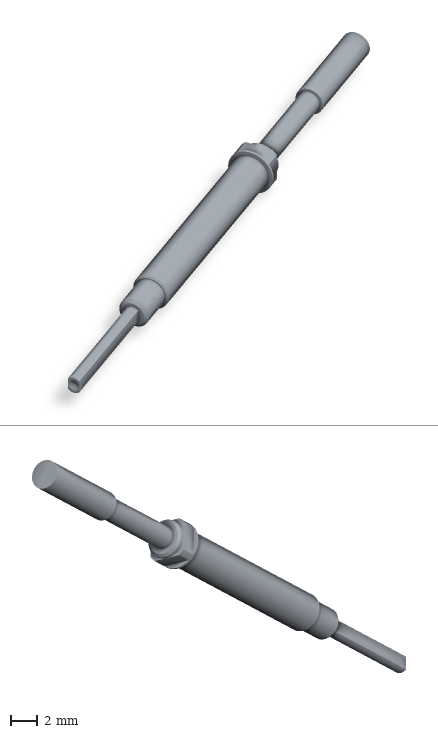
import cadquery as cq

pin_end = 10.0
sleeve_end = 13.0
flange_front = 30.0
flange_back = 30.2
collar_flats_end = 31.5
collar_end = 32.0
neck_end = 40.0
overall_length = 48.0

sleeve_diameter = 2.5
body_diameter = 3.0
flange_diameter = 3.75
collar_across_flats = body_diameter
neck_diameter = 1.8
wire_diameter = 2.3

pin_diameter = 1.4
pin_across_flats = 0.95
cup_diameter = 0.95
cup_depth = 0.3

sleeve_chamfer = 0.25
body_chamfer = 0.15
collar_chamfer = 0.2


def cylinder(diameter, start, end):
    """Cylinder on the Y axis between two stations."""
    return cq.Workplane("XZ", origin=(0, start, 0)).circle(diameter / 2).extrude(start - end)


def make_pin():
    rod = cylinder(pin_diameter, 0, pin_end)
    flats = cq.Workplane("XY").box(
        pin_across_flats, pin_end, pin_diameter, centered=(True, False, True)
    )
    cup = (
        cq.Workplane("XY")
        .polyline([(0, 0), (cup_diameter / 2, 0), (0, cup_depth)])
        .close()
        .revolve(360, (0, 0, 0), (0, 1, 0))
    )
    return rod.intersect(flats).cut(cup)


def make_sleeve():
    sleeve = cylinder(sleeve_diameter, pin_end, sleeve_end)
    return sleeve.faces("<Y").chamfer(sleeve_chamfer)


def make_body():
    """Long barrel that carries on through the collar, chamfered at both ends."""
    body = cylinder(body_diameter, sleeve_end, collar_end)
    return body.faces("<Y").chamfer(body_chamfer).faces(">Y").chamfer(collar_chamfer)


def make_collar():
    """Thin round flange backed by a square whose corners are rounded to the flange diameter."""
    flange = cylinder(flange_diameter, flange_front, flange_back)
    square = (
        cq.Workplane("XZ", origin=(0, flange_back, 0))
        .rect(collar_across_flats, collar_across_flats)
        .extrude(flange_back - collar_flats_end)
    )
    rounding = cylinder(flange_diameter, flange_back, collar_flats_end)
    return flange.union(square.intersect(rounding))


def make_wire_end():
    neck = cylinder(neck_diameter, collar_end, neck_end)
    return neck.union(cylinder(wire_diameter, neck_end, overall_length))


result = make_pin()
for section in (make_sleeve(), make_body(), make_collar(), make_wire_end()):
    result = result.union(section)